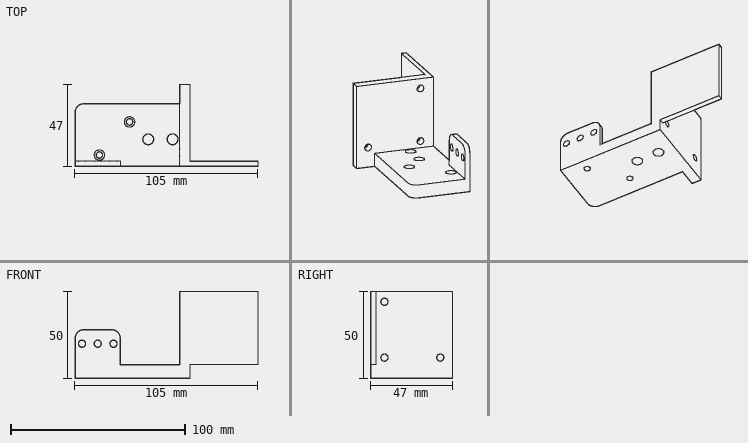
import cadquery as cq

length = 105.0
plate_width = 47.0
height = 50.0
base_width = 36.0
base_thickness = 8.0
base_length = 66.0
plate_thickness = 6.0
sheet_thickness = 3.0
corner_radius = 5.0

tab_length = 26.0
tab_height = 28.0
tab_hole_diameter = 4.0
tab_hole_z = 20.0
tab_hole_first_x = 4.0
tab_hole_pitch = 9.0

plate_hole_diameter = 4.0
plate_hole_near_y = 8.0
plate_hole_low_z = 12.0
plate_hole_pitch = 32.0

through_hole_diameter = 6.1
through_hole_points = [(42.0, 15.5), (56.0, 15.5)]
screw_points = [(14.0, 6.5), (31.3, 25.5)]
screw_hole_diameter = 3.6
counterbore_diameter = 6.0
counterbore_depth = 3.0

plate_x = base_length - plate_thickness


def block(x, y, z, size_x, size_y, size_z):
    """Box with its lowest corner at (x, y, z)."""
    return cq.Workplane("XY").box(size_x, size_y, size_z, centered=False).translate((x, y, z))


base = block(0, 0, 0, base_length, base_width, base_thickness)
base = base.edges("|Z and <X and >Y").fillet(corner_radius)

tab = block(0, 0, 0, tab_length, sheet_thickness, tab_height)
tab = tab.edges("|Y and >Z").fillet(corner_radius)

plate = block(plate_x, 0, 0, plate_thickness, plate_width, height)
sheet = block(plate_x, 0, base_thickness, length - plate_x, sheet_thickness, height - base_thickness)

body = base.union(tab).union(plate).union(sheet)

tab_hole_points = [(tab_hole_first_x + i * tab_hole_pitch, tab_hole_z) for i in range(3)]
tab_holes = (
    cq.Workplane("XZ")
    .pushPoints(tab_hole_points)
    .circle(tab_hole_diameter / 2)
    .extrude(-sheet_thickness)
)

plate_hole_points = [
    (plate_hole_near_y, plate_hole_low_z),
    (plate_hole_near_y + plate_hole_pitch, plate_hole_low_z),
    (plate_hole_near_y, plate_hole_low_z + plate_hole_pitch),
]
plate_holes = (
    cq.Workplane("YZ", origin=(plate_x, 0, 0))
    .pushPoints(plate_hole_points)
    .circle(plate_hole_diameter / 2)
    .extrude(plate_thickness)
)

body = body.cut(tab_holes).cut(plate_holes)

base_top = cq.Workplane("XY", origin=(0, 0, base_thickness))
through_holes = (
    base_top.pushPoints(through_hole_points)
    .circle(through_hole_diameter / 2)
    .extrude(-base_thickness)
)
screw_holes = (
    base_top.pushPoints(screw_points)
    .circle(screw_hole_diameter / 2)
    .extrude(-base_thickness)
)
counterbores = (
    base_top.pushPoints(screw_points)
    .circle(counterbore_diameter / 2)
    .extrude(-counterbore_depth)
)

result = body.cut(through_holes).cut(screw_holes).cut(counterbores)